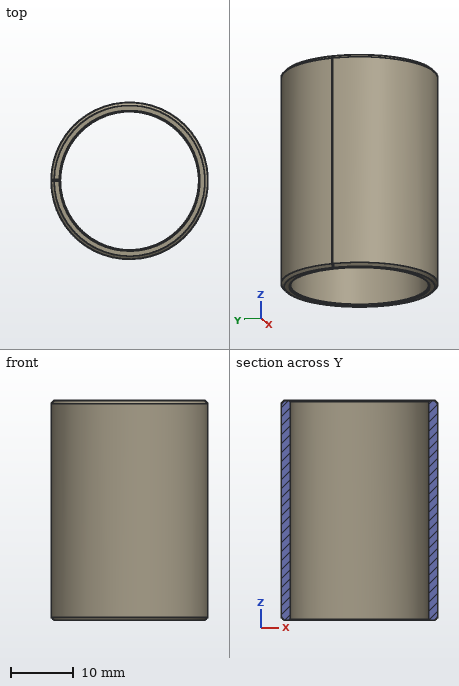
import cadquery as cq

outer_diameter = 25.0
bore_diameter = 22.0
length = 35.0
outer_chamfer = 0.5
bore_chamfer = 0.2
seam_angle = 1.0

outer_radius = outer_diameter / 2
bore_radius = bore_diameter / 2


def make_split_tube():
    """Turn the chamfered wall section about Z from the -X axis, leaving the seam open."""
    wall_section = [
        (-bore_radius, bore_chamfer),
        (-bore_radius - bore_chamfer, 0),
        (-outer_radius + outer_chamfer, 0),
        (-outer_radius, outer_chamfer),
        (-outer_radius, length - outer_chamfer),
        (-outer_radius + outer_chamfer, length),
        (-bore_radius - bore_chamfer, length),
        (-bore_radius, length - bore_chamfer),
    ]
    profile = cq.Workplane("XZ").polyline(wall_section).close()
    return profile.revolve(360 - seam_angle, (0, 0), (0, 1))


result = make_split_tube()